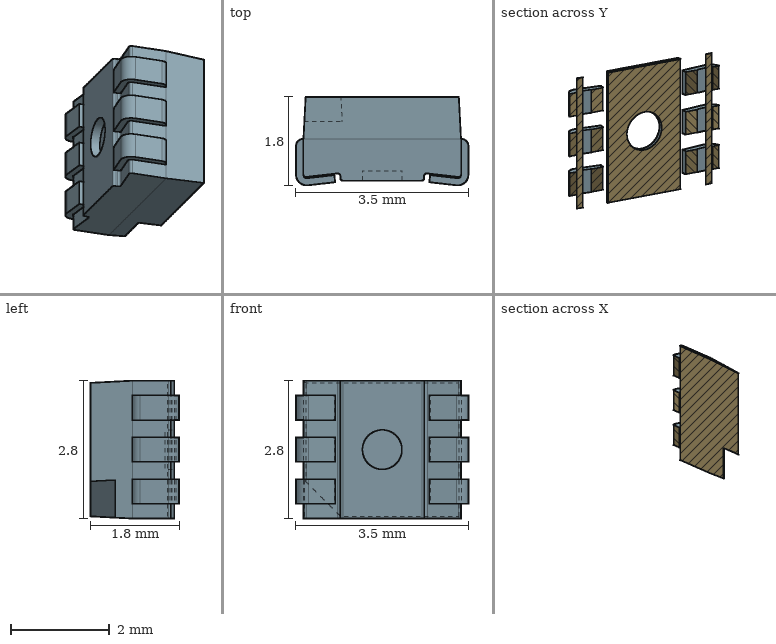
import cadquery as cq
import math


overall_width = 3.5
housing_height = 2.8
lead_thickness = 0.15
housing_width = overall_width - 2 * lead_thickness
cap_depth = 0.85
base_depth = 0.855
cap_taper = 3.0

foot_slope = 6.5
pad_width = 1.7
recess_depth = 0.155
edge_radius = 0.052

mark_leg = 0.8
mark_depth = 0.5
hole_diameter = 0.8
hole_depth = 0.2

lead_width = 0.5
lead_pitch = 0.85
leads_per_side = 3
shoulder_radius = 0.15
bend_radius = 0.22
foot_drop = 0.095
foot_tip_x = 0.952


def make_base():
    """Base prism with a sloping recess along each side and rounded long edges."""
    half_width = housing_width / 2
    half_pad = pad_width / 2
    step_y = recess_depth - base_depth
    side_y = step_y - (half_width - half_pad) * math.tan(math.radians(foot_slope))
    return (
        cq.Workplane("XY")
        .polyline([
            (-half_width, 0),
            (-half_width, side_y),
            (-half_pad, step_y),
            (-half_pad, -base_depth),
            (half_pad, -base_depth),
            (half_pad, step_y),
            (half_width, side_y),
            (half_width, 0),
        ])
        .close()
        .extrude(housing_height / 2, both=True)
        .edges("|Z and (not >Y)")
        .fillet(edge_radius)
    )


def make_cap():
    """Tapered cap on the parting plane, narrowing toward +Y."""
    return (
        cq.Workplane("XZ")
        .rect(housing_width, housing_height)
        .extrude(-cap_depth, taper=cap_taper)
    )


def make_corner_mark():
    """Triangular prism that bevels the -X, -Z corner at the back of the cap."""
    corner_x = -housing_width / 2
    corner_z = -housing_height / 2
    return (
        cq.Workplane("XZ", origin=(0, cap_depth, 0))
        .polyline([
            (corner_x, corner_z),
            (corner_x + mark_leg, corner_z),
            (corner_x, corner_z + mark_leg),
        ])
        .close()
        .extrude(mark_depth)
    )


def make_hole():
    """Blind round hole in the middle of the pad."""
    return (
        cq.Workplane("XZ", origin=(0, -base_depth, 0))
        .circle(hole_diameter / 2)
        .extrude(-hole_depth)
    )


def make_housing():
    return make_base().union(make_cap()).cut(make_corner_mark()).cut(make_hole())


def make_lead(z_center):
    """Lead on the -X side: shoulder, leg down the housing wall, bend and sloping foot."""
    outer_x = -overall_width / 2
    wall_x = -housing_width / 2
    bend_x = outer_x + bend_radius
    bend_y = -base_depth - foot_drop + bend_radius
    inner_radius = bend_radius - lead_thickness
    slope = math.radians(foot_slope)

    def on_bend(radius, angle):
        return (bend_x + radius * math.cos(angle), bend_y + radius * math.sin(angle))

    bend_end = 1.5 * math.pi + slope
    bend_middle = (math.pi + bend_end) / 2
    foot_start = on_bend(bend_radius, bend_end)
    foot_rise = (-foot_tip_x - foot_start[0]) * math.tan(slope)
    tip_bottom = (-foot_tip_x, foot_start[1] + foot_rise)
    tip_top = (
        tip_bottom[0] - lead_thickness * math.sin(slope),
        tip_bottom[1] + lead_thickness * math.cos(slope),
    )
    shoulder_middle = shoulder_radius * (1 - math.sqrt(0.5))

    return (
        cq.Workplane("XY", origin=(0, 0, z_center - lead_width / 2))
        .moveTo(wall_x, 0)
        .threePointArc((outer_x + shoulder_middle, -shoulder_middle), (outer_x, -shoulder_radius))
        .lineTo(outer_x, bend_y)
        .threePointArc(on_bend(bend_radius, bend_middle), foot_start)
        .lineTo(*tip_bottom)
        .lineTo(*tip_top)
        .lineTo(*on_bend(inner_radius, bend_end))
        .threePointArc(on_bend(inner_radius, bend_middle), (wall_x, bend_y))
        .close()
        .extrude(lead_width)
    )


housing = make_housing()

leads = []
for row in range(leads_per_side):
    left_lead = make_lead((row - (leads_per_side - 1) / 2) * lead_pitch)
    leads.append(left_lead.val())
    leads.append(left_lead.mirror("YZ").val())

result = cq.Compound.makeCompound([housing.val(), *leads])